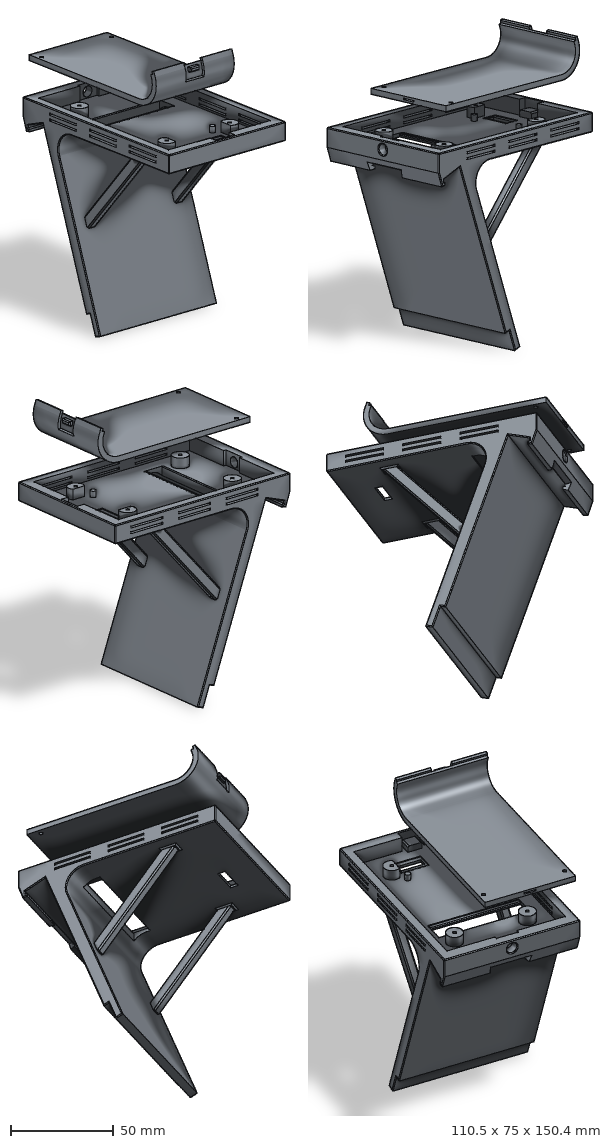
import cadquery as cq
import math

LENGTH = 110.5
WIDTH = 75.0
TOP_Z = 110.0
TRAY_HEIGHT = 10.0
FLOOR_THICKNESS = 2.0
EDGE_CHAMFER = 0.5
UNDERSIDE_Z = TOP_Z - TRAY_HEIGHT
FLOOR_Z = UNDERSIDE_Z + FLOOR_THICKNESS

LEAN = math.radians(20)
LEG_THICKNESS = 7.0
FOOT_THICKNESS = 4.0
FOOT_LENGTH = 11.7
FOOT_TIP_X = 54.7
LEG_FILLET = 10.0
LEG_DOWN = (math.sin(LEAN), -math.cos(LEAN))
LEG_ACROSS = (math.cos(LEAN), math.sin(LEAN))

NOSE_BOTTOM_Z = 92.5
NOSE_TIP_X = 2.5
LIP_BACK_X = 5.0
LIP_TOP_Z = 94.3
LIP_NECK_X = 3.9
LIP_ROOT_Z = 96.5
LIP_SLOPE = 0.5

NOTCH_WIDTH = 23.5
NOTCH_TOP_Z = 97.3
NOTCH_TAPER = 2.0
NOTCH_BOTTOM_Z = NOSE_BOTTOM_Z - 3

STRUT_ANGLE = math.radians(48.7)
STRUT_TOP_X = 80.2
STRUT_THICKNESS = 6.0
STRUT_WIDTH = 5.0
STRUT_Y = 28.0
STRUT_CHAMFER = 0.8
STRUT_LENGTH = 67.7
STRUT_EMBED = 3.0

CAVITY_LEFT = 6.5
CAVITY_RIGHT = 104.5
CAVITY_WIDTH = 65.3
WALL_POCKET_WIDTH = 12.2
FRONT_POCKET_DEPTH = 1.5
BACK_POCKET_DEPTH = 4.2
SLOT_COUNT = 3
SLOT_LENGTH = 20.0
SLOT_HEIGHT = 1.0
SLOT_PITCH = 30.1
SLOT_FIRST_X = 30.4
SLOT_ROWS_Z = (103.55, 106.5)
WINDOW_LEFT = 29.8
WINDOW_RIGHT = 39.0
WINDOW_LEDGE = 1.7
WINDOW_WIDTH = 50.1
LEDGE_DEPTH = 0.5
REAR_RECESS_X = 92.3
REAR_RECESS_Y = 7.45
REAR_RECESS_LENGTH = 8.7
REAR_RECESS_WIDTH = 15.0
REAR_SLOT_LENGTH = 4.0
REAR_SLOT_WIDTH = 13.0
NOSE_HOLE_RADIUS = 2.78
NOSE_HOLE_Z = 105.3

POST_RADIUS = 4.44
POST_HEIGHT = 5.5
POST_BORE_RADIUS = 0.9
POST_Y = 20.08
POST_FRONT_X = 22.4
POST_BACK_X = 88.5
POST_FLAT = 2.4
PEG_RADIUS = 1.5
PEG_HEIGHT = 3.3
PEG_X = 81.7
PEG_Y = 14.9
BLOCK_LENGTH = 6.3
BLOCK_WIDTH = 8.0
BLOCK_TOP_Z = 105.4
BLOCK_CHAMFER = 0.8

COVER_FRONT_X = 5.0
COVER_WIDTH = 50.0
COVER_THICKNESS = 3.0
COVER_BOTTOM_Z = 130.1
COVER_TOP_Z = COVER_BOTTOM_Z + COVER_THICKNESS
COVER_MID_Y = (COVER_WIDTH - WIDTH) / 2
BEND_X = 88.0
BEND_RADIUS = 10.0
BEND_ANGLE = math.radians(110.5)
BEND_OUTER_RADIUS = BEND_RADIUS + COVER_THICKNESS
BEND_MID_RADIUS = BEND_RADIUS + COVER_THICKNESS / 2
BEND_CENTRE = (BEND_X, COVER_BOTTOM_Z + BEND_OUTER_RADIUS)
TIP_DIRECTION = (math.cos(BEND_ANGLE), math.sin(BEND_ANGLE))
LIP_LENGTH = 1.5
TIP_LENGTH = 2.92
COVER_HOLE_RADIUS = 1.0
COVER_HOLE_INSET_X = 6.5
COVER_HOLE_INSET_Y = 2.63
TIP_NOTCH_WIDTH = 11.6
TIP_NOTCH_START = math.radians(80)
TIP_NOTCH_CLEARANCE = 3.0
NUB_WIDTH = 6.0
NUB_BOTTOM_Z = 145.0
NUB_TOP_Z = 147.4
NUB_CHAMFER = 0.6
NUB_EMBED = 0.3
END_SLOT_WIDTH = 6.6
END_SLOT_HEIGHT = 0.8
END_SLOT_DEPTH = 3.0


def mid_box(x0, x1, width, z0, z1, mid_y=0.0):
    """Block between two X and two Z values, with its Y width centred on mid_y."""
    block = cq.Workplane("XY").box(x1 - x0, width, z1 - z0, centered=(False, True, False))
    return block.translate((x0, mid_y, z0))


def profile(width, mid_y=0.0):
    """XZ sketch plane whose extrusion by `width` is centred on mid_y."""
    return cq.Workplane("XZ", origin=(0, mid_y + width / 2, 0))


def move(point, direction, distance):
    """Point reached by going a distance along a direction."""
    return (point[0] + distance * direction[0], point[1] + distance * direction[1])


def leg_back_x(z):
    """X of the sloping back face of the leg at height z."""
    heel = move((FOOT_TIP_X, 0), LEG_ACROSS, FOOT_THICKNESS)
    return heel[0] - (z - heel[1]) * math.tan(LEAN)


def leg_back_z(x):
    """Height of the sloping back face of the leg at a given X."""
    return UNDERSIDE_Z - (x - leg_back_x(UNDERSIDE_Z)) / math.tan(LEAN)


def side_profile():
    """Tray, nose and leg as one outline."""
    toe = (FOOT_TIP_X, 0)
    heel = move(toe, LEG_ACROSS, FOOT_THICKNESS)
    step_in = move(toe, LEG_DOWN, -FOOT_LENGTH)
    step_out = move(step_in, LEG_ACROSS, FOOT_THICKNESS - LEG_THICKNESS)
    lip_root = (LIP_BACK_X, LIP_ROOT_Z)
    to_leg = move(step_out, lip_root, -1)
    crotch = move(lip_root, LEG_ACROSS, to_leg[0] * LEG_ACROSS[0] + to_leg[1] * LEG_ACROSS[1])
    tangent = LEG_FILLET * math.tan((math.pi / 2 + LEAN) / 2)
    corner = (leg_back_x(UNDERSIDE_Z), UNDERSIDE_Z)
    fillet_top = (corner[0] + tangent, UNDERSIDE_Z)
    fillet_bottom = move(corner, LEG_DOWN, tangent)
    centre = (fillet_top[0], UNDERSIDE_Z - LEG_FILLET)
    to_corner = math.atan2(corner[1] - centre[1], corner[0] - centre[0])
    fillet_mid = move(centre, (math.cos(to_corner), math.sin(to_corner)), LEG_FILLET)
    return (
        profile(WIDTH)
        .moveTo(0, TOP_Z)
        .lineTo(0, UNDERSIDE_Z)
        .lineTo(NOSE_TIP_X, NOSE_BOTTOM_Z)
        .lineTo(LIP_BACK_X, NOSE_BOTTOM_Z + LIP_SLOPE)
        .lineTo(LIP_BACK_X, LIP_TOP_Z)
        .lineTo(LIP_NECK_X, LIP_TOP_Z + LIP_SLOPE)
        .lineTo(LIP_NECK_X, LIP_ROOT_Z - LIP_SLOPE)
        .lineTo(*lip_root)
        .lineTo(*crotch)
        .lineTo(*step_out)
        .lineTo(*step_in)
        .lineTo(*toe)
        .lineTo(*heel)
        .lineTo(*fillet_bottom)
        .threePointArc(fillet_mid, fillet_top)
        .lineTo(LENGTH, UNDERSIDE_Z)
        .lineTo(LENGTH, TOP_Z)
        .close()
    )


def make_shell():
    """Solid tray and leg with chamfered outer edges."""
    shell = side_profile().extrude(WIDTH)
    back_edges = cq.selectors.BoxSelector((LENGTH - 1.5, -WIDTH, 0), (LENGTH + 1.5, WIDTH, TOP_Z + 1.5))
    shell = shell.edges("|Y").edges(back_edges).chamfer(EDGE_CHAMFER)
    front_top = cq.selectors.BoxSelector((-1.5, -WIDTH, TOP_Z - 1.5), (1.5, WIDTH, TOP_Z + 1.5))
    shell = shell.edges("|Y").edges(front_top).chamfer(EDGE_CHAMFER)
    return shell.faces("<Y or >Y").edges().chamfer(EDGE_CHAMFER)


def make_strut(mid_y):
    """Chamfered bar from the tray floor down into the leg, with a flared pad at the top."""
    along = (math.cos(STRUT_ANGLE), math.sin(STRUT_ANGLE))
    level_length = STRUT_THICKNESS / along[1]
    top_mid = (STRUT_TOP_X + FLOOR_THICKNESS * along[0] / along[1], FLOOR_Z)
    top_front = move(top_mid, (1, 0), -level_length / 2)
    top_back = move(top_mid, (1, 0), level_length / 2)
    bar = (
        profile(STRUT_WIDTH, mid_y)
        .moveTo(*top_front)
        .lineTo(*top_back)
        .lineTo(*move(top_back, along, -STRUT_LENGTH))
        .lineTo(*move(top_front, along, -STRUT_LENGTH))
        .close()
        .extrude(STRUT_WIDTH)
        .faces("<Y or >Y")
        .edges()
        .chamfer(STRUT_CHAMFER)
    )
    pad = (
        cq.Workplane("XY", origin=(STRUT_TOP_X, mid_y, UNDERSIDE_Z))
        .rect(level_length + 2 * STRUT_CHAMFER, STRUT_WIDTH + 2 * STRUT_CHAMFER)
        .extrude(-STRUT_CHAMFER, taper=45)
    )
    behind_leg = (
        profile(WIDTH)
        .moveTo(leg_back_x(FLOOR_Z) - STRUT_EMBED, FLOOR_Z)
        .lineTo(LENGTH, FLOOR_Z)
        .lineTo(LENGTH, 0)
        .lineTo(leg_back_x(0) - STRUT_EMBED, 0)
        .close()
        .extrude(WIDTH)
    )
    return bar.union(pad).intersect(behind_leg)


def cut_cavity(stand):
    """Open the tray from above, with a pocket in its front and back walls."""
    cavity = mid_box(CAVITY_LEFT, CAVITY_RIGHT, CAVITY_WIDTH, FLOOR_Z, TOP_Z)
    pocket_left = CAVITY_LEFT - FRONT_POCKET_DEPTH
    pocket_right = CAVITY_RIGHT + BACK_POCKET_DEPTH
    pockets = mid_box(pocket_left, pocket_right, WALL_POCKET_WIDTH, FLOOR_Z, TOP_Z)
    return stand.cut(cavity).cut(pockets)


def cut_vent_slots(stand):
    """Rows of slots through both side walls."""
    for column in range(SLOT_COUNT):
        left = SLOT_FIRST_X + column * SLOT_PITCH - SLOT_LENGTH / 2
        for mid_z in SLOT_ROWS_Z:
            bottom = mid_z - SLOT_HEIGHT / 2
            stand = stand.cut(mid_box(left, left + SLOT_LENGTH, WIDTH, bottom, bottom + SLOT_HEIGHT))
    return stand


def cut_window(stand):
    """Floor window above the back of the leg, with chamfered edges and a shallow ledge."""
    bottom_z = leg_back_z(WINDOW_LEFT)
    ledge_z = FLOOR_Z - LEDGE_DEPTH
    ledge_left = WINDOW_RIGHT + EDGE_CHAMFER
    ledge_right = ledge_left + WINDOW_LEDGE
    window = (
        profile(WINDOW_WIDTH)
        .moveTo(WINDOW_LEFT - EDGE_CHAMFER, FLOOR_Z)
        .lineTo(WINDOW_LEFT, FLOOR_Z - EDGE_CHAMFER)
        .lineTo(WINDOW_LEFT, bottom_z)
        .lineTo(WINDOW_RIGHT, bottom_z)
        .lineTo(WINDOW_RIGHT, ledge_z - EDGE_CHAMFER)
        .lineTo(ledge_left, ledge_z)
        .lineTo(ledge_right, ledge_z)
        .lineTo(ledge_right, FLOOR_Z)
        .close()
        .extrude(WINDOW_WIDTH)
    )
    return stand.cut(window)


def cut_rear_recess(stand):
    """Shallow recess in the floor with a slot through it."""
    recess_left = REAR_RECESS_X - REAR_RECESS_LENGTH / 2
    recess_right = REAR_RECESS_X + REAR_RECESS_LENGTH / 2
    recess_z = FLOOR_Z - LEDGE_DEPTH
    recess = mid_box(recess_left, recess_right, REAR_RECESS_WIDTH, recess_z, FLOOR_Z, REAR_RECESS_Y)
    slot_left = REAR_RECESS_X - REAR_SLOT_LENGTH / 2
    slot_right = REAR_RECESS_X + REAR_SLOT_LENGTH / 2
    slot = mid_box(slot_left, slot_right, REAR_SLOT_WIDTH, UNDERSIDE_Z, FLOOR_Z, REAR_RECESS_Y)
    return stand.cut(recess).cut(slot)


def cut_nose_hole(stand):
    """Round hole through the front wall, chamfered on the outside."""
    start = cq.Vector(0, 0, NOSE_HOLE_Z)
    inward = cq.Vector(1, 0, 0)
    hole = cq.Solid.makeCylinder(NOSE_HOLE_RADIUS, CAVITY_LEFT, start, inward)
    mouth_radius = NOSE_HOLE_RADIUS + EDGE_CHAMFER
    mouth = cq.Solid.makeCone(mouth_radius, NOSE_HOLE_RADIUS, EDGE_CHAMFER, start, inward)
    return stand.cut(cq.Workplane(hole)).cut(cq.Workplane(mouth))


def cut_finger_notch(stand):
    """Notch in the nose that narrows towards the leg."""
    inner_width = NOTCH_WIDTH - 2 * NOTCH_TAPER
    inner_top = NOTCH_TOP_Z - NOTCH_TAPER
    notch = (
        cq.Workplane("YZ")
        .moveTo(-NOTCH_WIDTH / 2, NOTCH_TOP_Z)
        .lineTo(NOTCH_WIDTH / 2, NOTCH_TOP_Z)
        .lineTo(NOTCH_WIDTH / 2, NOTCH_BOTTOM_Z)
        .lineTo(-NOTCH_WIDTH / 2, NOTCH_BOTTOM_Z)
        .close()
        .workplane(offset=LIP_BACK_X)
        .moveTo(-inner_width / 2, inner_top)
        .lineTo(inner_width / 2, inner_top)
        .lineTo(inner_width / 2, NOTCH_BOTTOM_Z)
        .lineTo(-inner_width / 2, NOTCH_BOTTOM_Z)
        .close()
        .loft(ruled=True)
    )
    return stand.cut(notch)


def make_post(x, side):
    """Bored round post; the back posts have a flat towards the middle."""
    post = cq.Workplane("XY", origin=(x, side * POST_Y, FLOOR_Z)).circle(POST_RADIUS).extrude(POST_HEIGHT)
    post = post.faces(">Z").workplane().circle(POST_BORE_RADIUS).cutBlind(-POST_HEIGHT)
    if x == POST_BACK_X:
        flat_mid_y = side * (POST_Y - POST_FLAT - POST_RADIUS)
        flat = mid_box(x - POST_RADIUS, x + POST_RADIUS, 2 * POST_RADIUS, FLOOR_Z, TOP_Z, flat_mid_y)
        post = post.cut(flat)
    return post


def make_peg(side):
    return cq.Workplane("XY", origin=(PEG_X, side * PEG_Y, FLOOR_Z)).circle(PEG_RADIUS).extrude(PEG_HEIGHT)


def make_block():
    """Block standing in the back wall pocket."""
    back = CAVITY_RIGHT + BACK_POCKET_DEPTH
    block = mid_box(back - BLOCK_LENGTH, back, BLOCK_WIDTH, FLOOR_Z, BLOCK_TOP_Z)
    return block.faces(">Z").edges("|X").chamfer(BLOCK_CHAMFER)


def make_stand():
    """Tray, leg and struts with everything that stands on the tray floor."""
    stand = make_shell()
    for side in (-1, 1):
        stand = stand.union(make_strut(side * STRUT_Y))
    stand = cut_cavity(stand)
    stand = cut_vent_slots(stand)
    stand = cut_window(stand)
    stand = cut_rear_recess(stand)
    stand = cut_nose_hole(stand)
    stand = cut_finger_notch(stand)
    for side in (-1, 1):
        stand = stand.union(make_post(POST_FRONT_X, side))
        stand = stand.union(make_post(POST_BACK_X, side))
        stand = stand.union(make_peg(side))
    return stand.union(make_block())


def on_bend(radius, angle):
    """Point on the cover's bend, with the angle measured from straight down."""
    return move(BEND_CENTRE, (math.sin(angle), -math.cos(angle)), radius)


def past_bend(radius, distance):
    """Point on the straight tip that follows the bend."""
    return move(on_bend(radius, BEND_ANGLE), TIP_DIRECTION, distance)


def make_cover_plate():
    """Flat plate with a bent end that finishes in a stepped tip."""
    return (
        profile(COVER_WIDTH, COVER_MID_Y)
        .moveTo(COVER_FRONT_X, COVER_BOTTOM_Z)
        .lineTo(BEND_X, COVER_BOTTOM_Z)
        .threePointArc(on_bend(BEND_OUTER_RADIUS, BEND_ANGLE / 2), on_bend(BEND_OUTER_RADIUS, BEND_ANGLE))
        .lineTo(*past_bend(BEND_OUTER_RADIUS, TIP_LENGTH))
        .lineTo(*past_bend(BEND_MID_RADIUS, TIP_LENGTH))
        .lineTo(*past_bend(BEND_MID_RADIUS, LIP_LENGTH))
        .lineTo(*past_bend(BEND_RADIUS, LIP_LENGTH))
        .lineTo(*on_bend(BEND_RADIUS, BEND_ANGLE))
        .threePointArc(on_bend(BEND_RADIUS, BEND_ANGLE / 2), (BEND_X, COVER_TOP_Z))
        .lineTo(COVER_FRONT_X, COVER_TOP_Z)
        .close()
        .extrude(COVER_WIDTH)
    )


def cut_tip_notch(cover):
    """Remove the outer half of the tip over the notch width."""
    clear_radius = BEND_OUTER_RADIUS + TIP_NOTCH_CLEARANCE
    clear_length = TIP_LENGTH + TIP_NOTCH_CLEARANCE
    arc_mid = on_bend(BEND_MID_RADIUS, (TIP_NOTCH_START + BEND_ANGLE) / 2)
    notch = (
        profile(TIP_NOTCH_WIDTH, COVER_MID_Y)
        .moveTo(*on_bend(BEND_MID_RADIUS, TIP_NOTCH_START))
        .threePointArc(arc_mid, on_bend(BEND_MID_RADIUS, BEND_ANGLE))
        .lineTo(*past_bend(BEND_MID_RADIUS, clear_length))
        .lineTo(*past_bend(clear_radius, clear_length))
        .lineTo(*on_bend(clear_radius, TIP_NOTCH_START))
        .close()
        .extrude(TIP_NOTCH_WIDTH)
    )
    return cover.cut(notch)


def make_nub():
    """Chamfered catch in the tip notch, reaching out to the bend's outer surface."""
    left = BEND_X + BEND_RADIUS
    right = BEND_X + BEND_OUTER_RADIUS
    nub = mid_box(left, right, NUB_WIDTH, NUB_BOTTOM_Z, NUB_TOP_Z, COVER_MID_Y)
    nub = nub.faces(">X").edges().chamfer(NUB_CHAMFER)
    bend_core = (
        cq.Workplane("XZ", origin=(BEND_CENTRE[0], 0, BEND_CENTRE[1]))
        .circle(BEND_MID_RADIUS - NUB_EMBED)
        .extrude(WIDTH, both=True)
    )
    return nub.cut(bend_core)


def cut_cover_holes(cover):
    """Two small holes near the front corners of the plate."""
    hole_x = COVER_FRONT_X + COVER_HOLE_INSET_X
    for side in (-1, 1):
        hole_y = COVER_MID_Y + side * (COVER_WIDTH / 2 - COVER_HOLE_INSET_Y)
        hole = cq.Workplane("XY", origin=(hole_x, hole_y, COVER_BOTTOM_Z))
        cover = cover.cut(hole.circle(COVER_HOLE_RADIUS).extrude(COVER_THICKNESS))
    return cover


def cut_end_slot(cover):
    """Thin blind slot in the front edge of the plate."""
    bottom = COVER_BOTTOM_Z + (COVER_THICKNESS - END_SLOT_HEIGHT) / 2
    back = COVER_FRONT_X + END_SLOT_DEPTH
    slot = mid_box(COVER_FRONT_X, back, END_SLOT_WIDTH, bottom, bottom + END_SLOT_HEIGHT, COVER_MID_Y)
    return cover.cut(slot)


def make_cover():
    """Bent cover plate floating above the tray."""
    cover = cut_tip_notch(make_cover_plate())
    cover = cover.union(make_nub())
    cover = cut_cover_holes(cover)
    return cut_end_slot(cover)


stand = make_stand()
cover = make_cover()
result = cq.Compound.makeCompound([stand.val(), cover.val()])